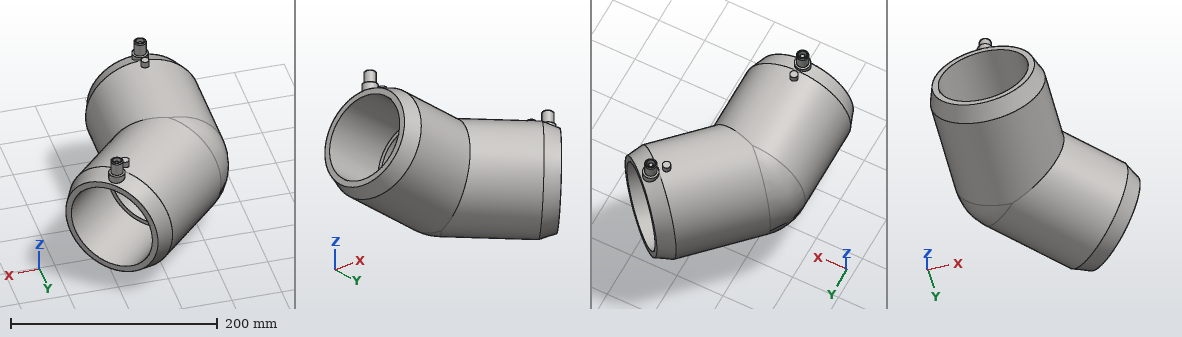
import cadquery as cq
BEND_ANGLE = 45.0
LEG_LENGTH = 113.0
BODY_DIAMETER = 115.0
END_DIAMETER = 102.5
END_TAPER_LENGTH = 17.5

SOCKET_DIAMETER = 90.0
SOCKET_DEPTH = 71.0
BORE_DIAMETER = 81.67

STRAIGHT_LEG_INSET = 8.0
BENT_LEG_INSET = 10.0
COLLAR_DIAMETER = 16.0
COLLAR_RIM = 59.75
COLLAR_RISE = 0.5
SHROUD_DIAMETER = 12.0
SHROUD_TOP = 74.0
SHROUD_CHAMFER = 1.0
SHROUD_HOLE_DIAMETER = 8.0
SHROUD_HOLE_DEPTH = 12.0
CONTACT_DIAMETER = 5.0
CONTACT_TOP = 71.5
CONTACT_CHAMFER = 0.5

INDICATOR_INSET = 26.0
INDICATOR_DIAMETER = 8.0
INDICATOR_TOP = 64.0

FITTING_BASE = (SOCKET_DIAMETER + END_DIAMETER) / 4


def upright_cylinder(inset, diameter, bottom, top):
    """Vertical cylinder above the straight leg, at a distance from its end face."""
    return (
        cq.Workplane("XY", origin=(0, inset - LEG_LENGTH, bottom))
        .circle(diameter / 2)
        .extrude(top - bottom)
    )


def leg_cylinder(diameter, length, start=0.0):
    """Cylinder along -Y, beginning at a distance from the bend centre."""
    return (
        cq.Workplane("XZ", origin=(0, -start, 0))
        .circle(diameter / 2)
        .extrude(length)
    )


def leg_outside():
    """Straight leg with its tapered end, as a profile revolved about Y."""
    body_radius = BODY_DIAMETER / 2
    return (
        cq.Workplane("XY")
        .lineTo(body_radius, 0)
        .lineTo(body_radius, END_TAPER_LENGTH - LEG_LENGTH)
        .lineTo(END_DIAMETER / 2, -LEG_LENGTH)
        .lineTo(0, -LEG_LENGTH)
        .close()
        .revolve(360, (0, 0, 0), (0, 1, 0))
    )


def leg_bore():
    """Through bore of one leg with the wider pipe socket at its end."""
    bore = leg_cylinder(BORE_DIAMETER, LEG_LENGTH)
    socket = leg_cylinder(SOCKET_DIAMETER, SOCKET_DEPTH, LEG_LENGTH - SOCKET_DEPTH)
    return bore.union(socket)


def terminal(inset):
    """Collar with a sloping top, and a hollow shroud around a contact pin."""
    collar = upright_cylinder(inset, COLLAR_DIAMETER, FITTING_BASE, COLLAR_RIM)
    collar_slope = cq.Solid.makeCone(
        COLLAR_DIAMETER / 2,
        SHROUD_DIAMETER / 2,
        COLLAR_RISE,
        pnt=cq.Vector(0, inset - LEG_LENGTH, COLLAR_RIM),
    )
    shroud = upright_cylinder(inset, SHROUD_DIAMETER, FITTING_BASE, SHROUD_TOP)
    shroud = shroud.faces(">Z").edges().chamfer(SHROUD_CHAMFER)
    hole_bottom = SHROUD_TOP - SHROUD_HOLE_DEPTH
    hole = upright_cylinder(inset, SHROUD_HOLE_DIAMETER, hole_bottom, SHROUD_TOP)
    contact = upright_cylinder(inset, CONTACT_DIAMETER, FITTING_BASE, CONTACT_TOP)
    contact = contact.faces(">Z").edges().chamfer(CONTACT_CHAMFER)
    return collar.union(collar_slope).union(shroud).cut(hole).union(contact)


def indicator():
    """Plain peg showing that the joint has fused."""
    return upright_cylinder(INDICATOR_INSET, INDICATOR_DIAMETER, FITTING_BASE, INDICATOR_TOP)


def on_bent_leg(leg_shape):
    """Turn a shape from the straight leg, along -Y, onto the bent leg."""
    return leg_shape.rotate((0, 0, 0), (0, 0, 1), 180.0 - BEND_ANGLE)


def on_both_legs(leg_shape):
    """Shape on the straight leg together with its copy on the bent leg."""
    return leg_shape.union(on_bent_leg(leg_shape))


def ball(diameter):
    """Sphere that rounds the outer corner of the bend."""
    return cq.Workplane("XY").sphere(diameter / 2)


outside = on_both_legs(leg_outside()).union(ball(BODY_DIAMETER))
bore = on_both_legs(leg_bore()).union(ball(BORE_DIAMETER))
terminals = terminal(STRAIGHT_LEG_INSET).union(on_bent_leg(terminal(BENT_LEG_INSET)))
indicators = on_both_legs(indicator())

result = outside.cut(bore).union(terminals).union(indicators)